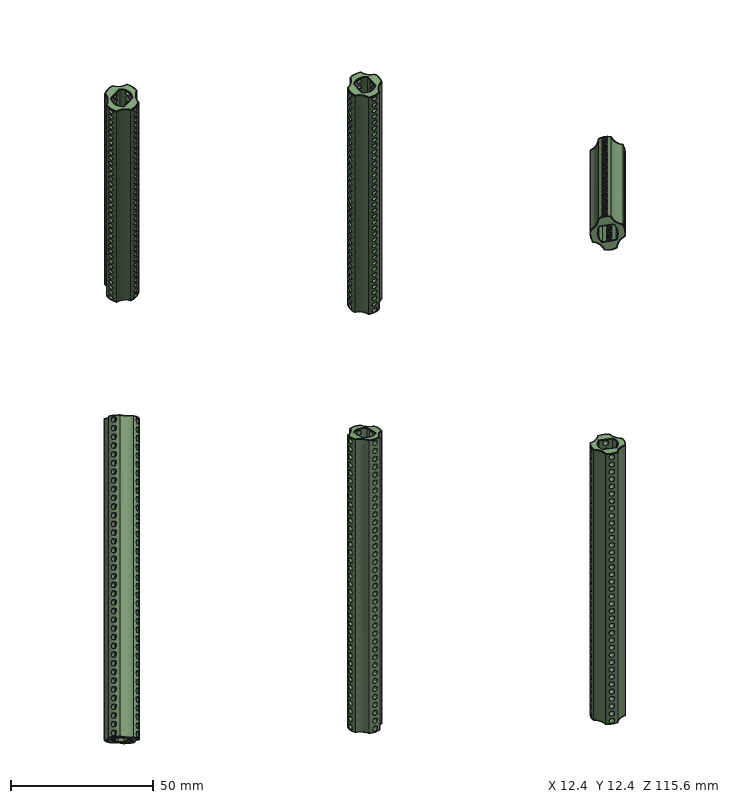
import cadquery as cq
import math

length = 115.6
outer_radius = 6.2
lobe_half_width = 2.3
groove_bottom_radius = 5.1
bore_half_width = 2.8
bore_half_height = 3.5
bore_corner_height = 2.4
end_chamfer = 0.2
hole_diameter = 2.0
hole_count = 37

lobe_corner = math.sqrt(outer_radius**2 - lobe_half_width**2)
hole_pitch = length / hole_count
groove_bottom = groove_bottom_radius / math.sqrt(2)


def rotated(point, quarter_turns):
    """Turn a point about the axis by whole quarter turns."""
    x, y = point
    for _ in range(quarter_turns):
        x, y = -y, x
    return x, y


def lobed_bar():
    """Bar with four round-topped lobes and a concave groove between neighbours."""
    outline = cq.Workplane("XY").moveTo(lobe_corner, -lobe_half_width)
    for turn in range(4):
        outline = outline.threePointArc(
            rotated((outer_radius, 0), turn),
            rotated((lobe_corner, lobe_half_width), turn),
        )
        outline = outline.threePointArc(
            rotated((groove_bottom, groove_bottom), turn),
            rotated((lobe_half_width, lobe_corner), turn),
        )
    return outline.close().extrude(length)


def bore():
    """Through bore with two flats facing X and two curved crowns facing Y."""
    return (
        cq.Workplane("XY")
        .moveTo(bore_half_width, -bore_corner_height)
        .lineTo(bore_half_width, bore_corner_height)
        .threePointArc((0, bore_half_height), (-bore_half_width, bore_corner_height))
        .lineTo(-bore_half_width, -bore_corner_height)
        .threePointArc((0, -bore_half_height), (bore_half_width, -bore_corner_height))
        .close()
        .extrude(length)
    )


def cross_holes(plane):
    """Row of evenly spaced holes straight through the bar along the plane's normal."""
    centers = [(0, hole_pitch * (index + 0.5)) for index in range(hole_count)]
    return (
        cq.Workplane(plane)
        .pushPoints(centers)
        .circle(hole_diameter / 2)
        .extrude(outer_radius, both=True)
    )


tube = lobed_bar().cut(bore())

tube = tube.faces("<Z or >Z").edges().chamfer(end_chamfer)

result = tube.cut(cross_holes("XZ")).cut(cross_holes("YZ"))